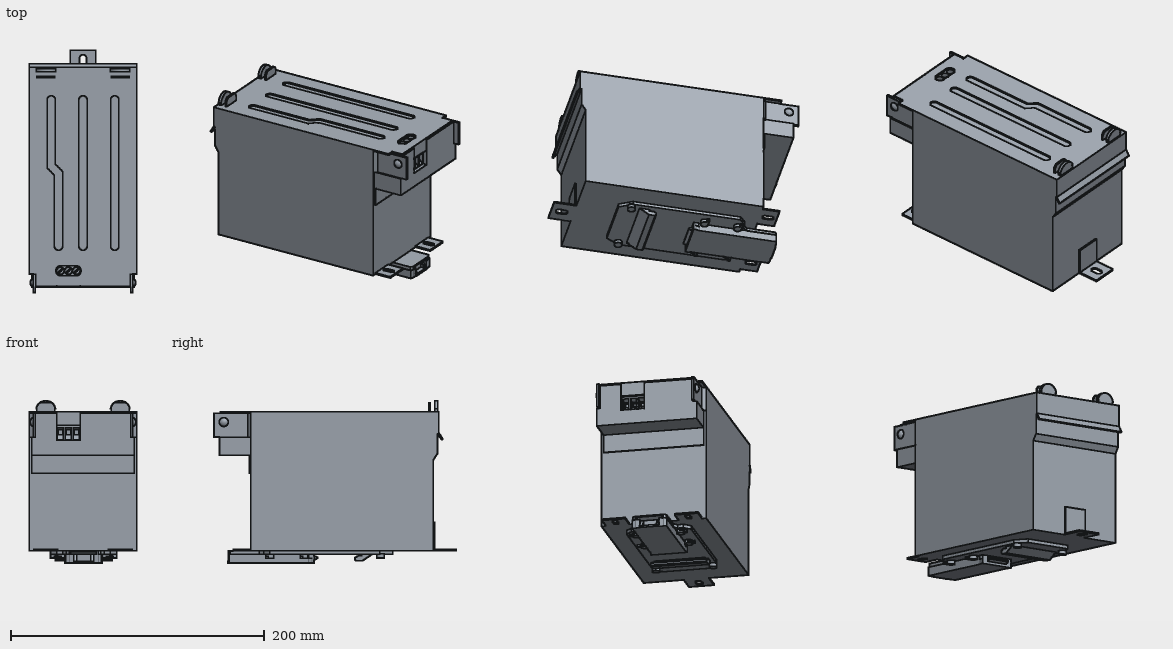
import cadquery as cq
import math

width = 85.0
half_width = width / 2
base_z = 9.7
top_z = 119.4
sheet = 1.1
front_y = -66.5
back_y = 77.5
hood_back_y = 82.0
hood_step_y = 80.8
hood_step_z = 102.5
slant_top_z = 86.3
slant_bottom_z = 81.2

box_front_y = -91.1
box_bottom_z = 85.0
box_half_width = 40.5
box_neck_half_width = 37.6
apron_bottom_z = 70.7
roof_z = top_z - sheet
roof_corner_y = -81.0
roof_front_half_width = 37.0
roof_setback = 0.8

ear_bottom_z = 99.3
ear_tip_y = -95.5
ear_bend_y = -68.8
ear_outer_x = 39.3
rivet_y = -87.7
rivet_z = 111.2
rivet_radius = 3.53
rivet_height = 2.3

terminal_x = -11.5
terminal_pitch = 6.3
terminal_offsets = (-terminal_pitch, 0, terminal_pitch)
window_width = 18.7
window_bottom_z = 96.6
block_top_z = 108.5
block_recess = 3.5
funnel_width = 4.8
funnel_top_z = 106.8
funnel_depth = 4.5
wire_hole_width = 3.6
wire_hole_bottom_z = 101.0
wire_hole_top_z = 105.0
wire_hole_depth = 3.8
screw_y = -78.3
screw_slot_length = 19.9
screw_slot_width = 8.0
screw_radius = 2.9
screw_depth = 3.8
driver_groove_width = 1.0

groove_width = 6.7
groove_depth = 1.1
groove_back_y = 59.5
groove_front_y = -62.0
groove_spacing = 25.0
jog_shift = 5.7
jog_y = 4.2

fin_x = 29.32
fin_center_z = 120.1
fin_radius = 7.8
fin_foot_width = 14.3
fin_foot_top_z = 121.5
large_fin_y = (78.5, 81.0)
small_fin_y = (73.7, 75.0)
small_fin_top_z = 126.5

back_tab_width = 20.2
back_tab_tip_y = 95.5
back_tab_top_z = 32.0
back_slot_width = 5.3
back_slot_end_y = 91.9
back_slot_length = 9.5
foot_x = 29.5
foot_width = 19.0
foot_tip_y = -80.2
foot_slot_y = -73.0
foot_slot_length = 9.4
foot_slot_width = 4.2

clip_x = 0.48
clip_plate_bottom_z = 6.9
clip_front_y = -84.0
clip_plan = [
    (11.5, clip_front_y),
    (13.5, -82.5),
    (13.5, -59.5),
    (16.5, -56.3),
    (21.0, -56.3),
    (26.2, -51.5),
    (26.2, 35.1),
    (20.5, 45.6),
]
slider_back_y = -16.5
slider_flare_top_z = 4.0
slider_plan = [
    (11.5, clip_front_y),
    (14.0, -83.5),
    (14.0, slider_back_y),
]
slider_flare_plan = [
    (14.0, -21.0),
    (14.7, -18.1),
    (14.7, slider_back_y),
]
slider_wing_half_width = 14.7
slider_wing_length = 4.2
peg_radius = 3.0
peg_bottom_z = 4.0
front_peg_x = 17.67
front_peg_ys = (-24.5, -51.4)
peg_key_half_span = 23.3
peg_key_depth = 2.0
peg_key_top_z = 5.5
back_peg_x = 23.1
back_peg_y = 36.0
hook_half_width = 22.5
hook_notch_y = (18.5, 21.0)
hook_notch_bottom_z = 5.7
hook_notch_depth = 2.0
hook_profile = [
    (29.2, clip_plate_bottom_z),
    (21.5, 1.7),
    (16.6, 1.7),
    (15.7, 2.7),
    (15.7, 4.4),
    (18.5, 6.0),
    (18.5, clip_plate_bottom_z),
]
latch_half_width = 9.5
latch_tip_y = -13.8
latch_profile = [(slider_back_y, 5.7), (latch_tip_y, 4.5), (latch_tip_y, 3.8), (slider_back_y, 2.3)]
grip_width = 15.7
grip_bottom_z = 1.5
grip_depth = 3.8
grip_sill_length = 0.5
grip_lip_width = 20.2
grip_lip_top_z = 8.8
grip_rib_width = 2.3
grip_rib_x = 6.7

overlap = 0.4


def block(x_range, y_range, z_range):
    """Box spanning the given coordinate ranges."""
    (x0, x1), (y0, y1), (z0, z1) = x_range, y_range, z_range
    return cq.Workplane("XY").box(x1 - x0, y1 - y0, z1 - z0, centered=False).translate((x0, y0, z0))


def wide_block(half, y_range, z_range, x=0.0):
    """Box centred on x."""
    return block((x - half, x + half), y_range, z_range)


def side_prism(points, half, x=0.0):
    """Extrude a (y, z) outline across X, centred on x."""
    return cq.Workplane("YZ").polyline(points).close().extrude(half, both=True).translate((x, 0, 0))


def plan_prism(points, z0, z1):
    """Extrude an (x, y) outline from z0 up to z1."""
    return cq.Workplane("XY").workplane(offset=z0).polyline(points).close().extrude(z1 - z0)


def mirrored(points, x=0.0):
    """Complete a right-hand (half width, y) outline with its left-hand mirror about x."""
    right = [(x + half, y) for half, y in points]
    left = [(x - half, y) for half, y in reversed(points)]
    return right + left


def make_housing():
    body = side_prism(
        [
            (front_y, base_z),
            (back_y, base_z),
            (back_y, slant_bottom_z),
            (hood_step_y, slant_top_z),
            (hood_step_y, hood_step_z),
            (hood_back_y, hood_step_z),
            (hood_back_y, top_z),
            (front_y, top_z),
        ],
        half_width,
    )
    lip = side_prism([(80.5, hood_step_z), (82.0, hood_step_z), (85.0, 97.8), (84.0, 97.2)], half_width)
    return body.union(lip)


def make_terminal_box():
    inside_y = front_y + overlap
    lower = wide_block(box_half_width, (box_front_y, inside_y), (box_bottom_z, ear_bottom_z))
    upper = wide_block(box_neck_half_width, (box_front_y, inside_y), (ear_bottom_z - overlap, roof_z))
    apron = wide_block(box_half_width, (front_y - sheet, inside_y), (apron_bottom_z, ear_bottom_z))
    roof_plan = [
        (roof_front_half_width, box_front_y + roof_setback),
        (roof_front_half_width, roof_corner_y),
        (half_width, roof_corner_y),
        (half_width, inside_y),
    ]
    roof = plan_prism(mirrored(roof_plan), roof_z, top_z)
    return lower.union(upper).union(apron).union(roof)


def make_ear():
    """Left side ear, joggled inward from the housing wall, with its rivet head."""
    inner_x = box_neck_half_width - overlap / 2
    plate = plan_prism(
        [
            (-half_width, front_y + overlap),
            (-half_width, front_y),
            (-ear_outer_x, ear_bend_y),
            (-ear_outer_x, ear_tip_y),
            (-box_neck_half_width, ear_tip_y),
            (-box_neck_half_width, box_front_y),
            (-inner_x, box_front_y),
            (-inner_x, front_y + overlap),
        ],
        ear_bottom_z,
        roof_z,
    )
    dome_radius = (rivet_radius**2 + rivet_height**2) / (2 * rivet_height)
    dome_center = rivet_height - dome_radius
    mid_angle = math.asin(rivet_radius / dome_radius) / 2
    mid_point = (dome_radius * math.sin(mid_angle), dome_center + dome_radius * math.cos(mid_angle))
    head = (
        cq.Workplane("XY")
        .moveTo(0, -overlap)
        .lineTo(0, rivet_height)
        .threePointArc(mid_point, (rivet_radius, 0))
        .lineTo(rivet_radius, -overlap)
        .close()
        .revolve(360, (0, 0, 0), (0, 1, 0))
        .rotate((0, 0, 0), (0, 0, 1), 90)
        .translate((-ear_outer_x, rivet_y, rivet_z))
    )
    return plate.union(head)


def cut_terminals(body):
    half_window = window_width / 2
    panel_y = box_front_y + roof_setback
    block_y = box_front_y + block_recess
    body = body.cut(wide_block(half_window, (box_front_y, panel_y), (window_bottom_z, roof_z), terminal_x))
    body = body.cut(wide_block(half_window, (box_front_y, block_y), (window_bottom_z, block_top_z), terminal_x))
    floor_y = block_y + funnel_depth
    funnel_outline = [
        (block_y, window_bottom_z + overlap),
        (floor_y, wire_hole_bottom_z),
        (floor_y, wire_hole_top_z),
        (block_y, funnel_top_z),
    ]
    for offset in terminal_offsets:
        x = terminal_x + offset
        body = body.cut(side_prism(funnel_outline, funnel_width / 2, x))
        hole_y = (floor_y - overlap, floor_y + wire_hole_depth)
        hole_z = (wire_hole_bottom_z, wire_hole_top_z)
        body = body.cut(wide_block(wire_hole_width / 2, hole_y, hole_z, x))
    return body


def cut_terminal_screws(body):
    recess = (
        cq.Workplane("XY")
        .workplane(offset=roof_z)
        .center(terminal_x, screw_y)
        .slot2D(screw_slot_length, screw_slot_width)
        .extrude(sheet)
    )
    body = body.cut(recess)
    centers = [(terminal_x + offset, screw_y) for offset in terminal_offsets]
    floor_z = roof_z - screw_depth
    wells = cq.Workplane("XY").workplane(offset=floor_z).pushPoints(centers).circle(screw_radius)
    body = body.cut(wells.extrude(screw_depth))
    grooves = (
        cq.Workplane("XY")
        .workplane(offset=floor_z - driver_groove_width)
        .pushPoints(centers)
        .slot2D(2 * screw_radius, driver_groove_width, 45)
        .extrude(driver_groove_width)
    )
    return body.cut(grooves)


def cut_roof_grooves(body):
    radius = groove_width / 2
    floor = cq.Workplane("XY").workplane(offset=top_z - groove_depth)
    length = groove_back_y - groove_front_y
    straight = (
        floor.center(0, (groove_back_y + groove_front_y) / 2)
        .pushPoints([(0, 0), (groove_spacing, 0)])
        .slot2D(length, groove_width, 90)
        .extrude(groove_depth)
    )
    back_x = -groove_spacing
    front_x = back_x + jog_shift
    miter = radius * math.tan(math.pi / 8)
    jog_end_y = jog_y - jog_shift
    end_back_y = groove_back_y - radius
    end_front_y = groove_front_y + radius
    jogged = (
        floor.moveTo(back_x - radius, end_back_y)
        .lineTo(back_x - radius, jog_y - miter)
        .lineTo(front_x - radius, jog_end_y - miter)
        .lineTo(front_x - radius, end_front_y)
        .threePointArc((front_x, groove_front_y), (front_x + radius, end_front_y))
        .lineTo(front_x + radius, jog_end_y + miter)
        .lineTo(back_x + radius, jog_y + miter)
        .lineTo(back_x + radius, end_back_y)
        .threePointArc((back_x, groove_back_y), (back_x - radius, end_back_y))
        .close()
        .extrude(groove_depth)
    )
    return body.cut(straight).cut(jogged)


def make_fin_pair(x):
    """Round fin at the back edge with a smaller flat-topped fin in front of it."""

    def disc(y_range):
        return (
            cq.Workplane("XZ")
            .center(x, fin_center_z)
            .circle(fin_radius)
            .extrude(y_range[0] - y_range[1])
            .translate((0, y_range[0], 0))
        )

    half_foot = fin_foot_width / 2
    root_z = top_z - overlap
    top = fin_center_z + fin_radius
    above_foot = wide_block(fin_radius, large_fin_y, (fin_foot_top_z, top), x)
    foot = wide_block(half_foot, large_fin_y, (root_z, fin_foot_top_z), x)
    large = disc(large_fin_y).intersect(above_foot).union(foot)
    small = disc(small_fin_y).intersect(wide_block(half_foot, small_fin_y, (root_z, small_fin_top_z), x))
    return large.union(small)


def make_mounting_tabs():
    tab_z = (base_z, base_z + sheet)
    half_tab = back_tab_width / 2
    tab = wide_block(half_tab, (back_y - overlap, back_tab_tip_y), tab_z)
    upright = wide_block(half_tab, (back_y - overlap, back_y + sheet), (base_z, back_tab_top_z))
    back_slot = (
        cq.Workplane("XY")
        .workplane(offset=base_z)
        .center(0, back_slot_end_y - back_slot_length / 2)
        .slot2D(back_slot_length, back_slot_width, 90)
        .extrude(sheet)
    )
    tabs = tab.cut(back_slot).union(upright)
    for x in (-foot_x, foot_x):
        foot = wide_block(foot_width / 2, (foot_tip_y, front_y + overlap), tab_z, x)
        slot = (
            cq.Workplane("XY")
            .workplane(offset=base_z)
            .center(x, foot_slot_y)
            .slot2D(foot_slot_length, foot_slot_width, 90)
            .extrude(sheet)
        )
        tabs = tabs.union(foot.cut(slot))
    return tabs


def make_rail_clip():
    clip = plan_prism(mirrored(clip_plan, clip_x), clip_plate_bottom_z, base_z)
    clip = clip.union(plan_prism(mirrored(slider_plan, clip_x), 0, clip_plate_bottom_z))
    clip = clip.union(plan_prism(mirrored(slider_flare_plan, clip_x), 0, slider_flare_top_z))
    wing_y = (slider_back_y - slider_wing_length, slider_back_y)
    wing_z = (slider_flare_top_z, clip_plate_bottom_z)
    clip = clip.union(wide_block(slider_wing_half_width, wing_y, wing_z, clip_x))
    hook = side_prism(hook_profile, hook_half_width, clip_x)
    notch_z = (hook_notch_bottom_z, clip_plate_bottom_z)
    for side in (-1, 1):
        notch_x = clip_x + side * hook_half_width
        hook = hook.cut(wide_block(hook_notch_depth, hook_notch_y, notch_z, notch_x))
    clip = clip.union(hook)
    clip = clip.union(side_prism(latch_profile, latch_half_width, clip_x))
    peg_points = []
    for side in (-1, 1):
        peg_points += [(clip_x + side * front_peg_x, y) for y in front_peg_ys]
        peg_points.append((clip_x + side * back_peg_x, back_peg_y))
    pegs = (
        cq.Workplane("XY")
        .workplane(offset=peg_bottom_z)
        .pushPoints(peg_points)
        .circle(peg_radius)
        .extrude(clip_plate_bottom_z - peg_bottom_z + overlap)
    )
    clip = clip.union(pegs)
    for y in front_peg_ys:
        key_y = (y - peg_radius, y - peg_radius + peg_key_depth)
        for side in (-1, 1):
            key_x = sorted((clip_x + side * front_peg_x, clip_x + side * peg_key_half_span))
            clip = clip.union(block(key_x, key_y, (peg_bottom_z, peg_key_top_z)))
    inner_y = clip_front_y + grip_depth
    pocket = wide_block(
        grip_width / 2, (clip_front_y, inner_y), (grip_bottom_z, clip_plate_bottom_z), clip_x
    )
    lip = side_prism(
        [
            (clip_front_y, clip_plate_bottom_z),
            (inner_y, clip_plate_bottom_z),
            (clip_front_y, grip_lip_top_z),
        ],
        grip_lip_width / 2,
        clip_x,
    )
    clip = clip.cut(pocket).cut(lip)
    rib_outline = [
        (clip_front_y, grip_bottom_z),
        (inner_y, grip_bottom_z),
        (inner_y, clip_plate_bottom_z),
    ]
    sill_y = (clip_front_y - grip_sill_length, clip_front_y)
    clip = clip.union(wide_block(grip_width / 2, sill_y, (0, grip_bottom_z), clip_x))
    for side in (-1, 1):
        clip = clip.union(side_prism(rib_outline, grip_rib_width / 2, clip_x + side * grip_rib_x))
    return clip


left_ear = make_ear()
part = make_housing().union(make_terminal_box())
part = part.union(left_ear).union(left_ear.mirror("YZ"))
part = cut_terminals(part)
part = cut_terminal_screws(part)
part = cut_roof_grooves(part)
for fin_pair_x in (-fin_x, fin_x):
    part = part.union(make_fin_pair(fin_pair_x))
part = part.union(make_mounting_tabs()).union(make_rail_clip())
result = part